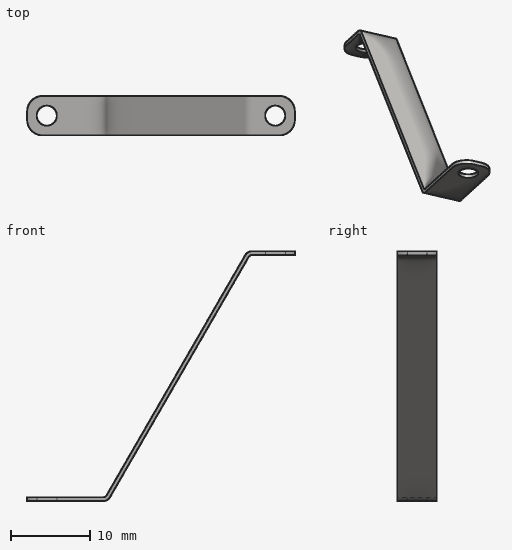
import cadquery as cq
import math

length = 33.75
width = 5.0
height = 31.5
thickness = 0.5

bend_angle = math.radians(60)
inner_bend_radius = 0.5
outer_bend_radius = inner_bend_radius + thickness
lower_flat_length = 9.6

corner_radius = 2.0
hole_diameter = 2.5
hole_end_distance = width / 2

inner_setback = inner_bend_radius * math.tan(bend_angle / 2)
outer_setback = outer_bend_radius * math.tan(bend_angle / 2)

lower_outer_x = lower_flat_length + outer_setback
lower_inner_x = lower_flat_length + inner_setback
slope_run = (height - thickness) / math.tan(bend_angle)
upper_inner_x = lower_outer_x + slope_run
upper_outer_x = lower_inner_x + slope_run


def make_strip():
    """Z-shaped strip with sharp bends, centred on Y = 0."""
    profile = [
        (0, 0),
        (lower_outer_x, 0),
        (upper_inner_x, height - thickness),
        (length, height - thickness),
        (length, height),
        (upper_outer_x, height),
        (lower_inner_x, thickness),
        (0, thickness),
    ]
    return cq.Workplane("XZ").polyline(profile).close().extrude(width / 2, both=True)


def round_bend(strip, x, z, radius):
    """Round the bend edge that runs along Y through (x, z)."""
    edge = cq.selectors.NearestToPointSelector((x, 0, z))
    return strip.edges("|Y").edges(edge).fillet(radius)


result = make_strip()
result = round_bend(result, lower_outer_x, 0, outer_bend_radius)
result = round_bend(result, lower_inner_x, thickness, inner_bend_radius)
result = round_bend(result, upper_inner_x, height - thickness, inner_bend_radius)
result = round_bend(result, upper_outer_x, height, outer_bend_radius)

result = result.edges("|Z").fillet(corner_radius)

hole_centers = [(hole_end_distance, 0), (length - hole_end_distance, 0)]
holes = cq.Workplane("XY").pushPoints(hole_centers).circle(hole_diameter / 2).extrude(height)
result = result.cut(holes)